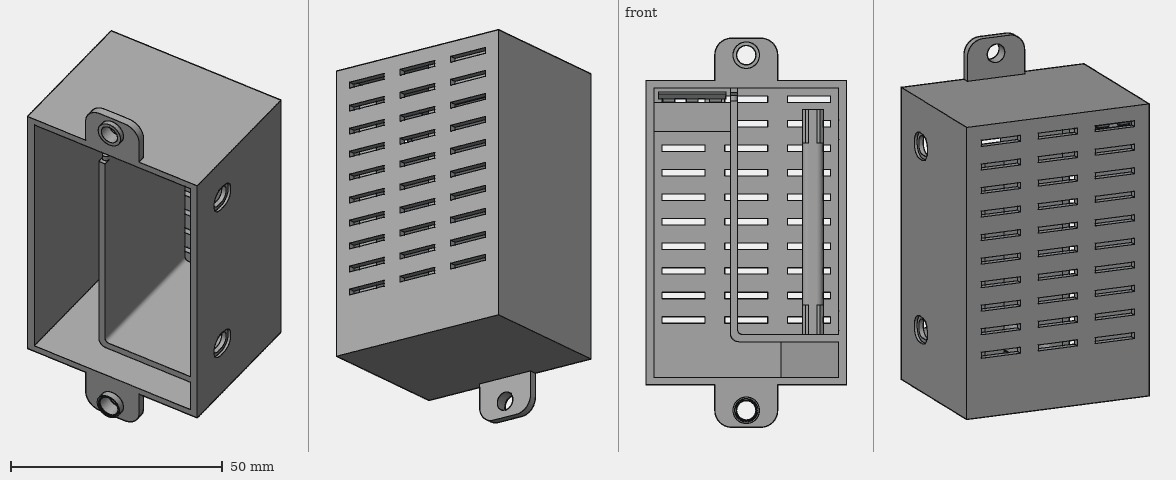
import cadquery as cq
import math

total_height = 92.0
box_width = 47.5
box_depth = 37.1
box_height = 71.9
wall = 1.75
side_wall = 1.9

inner_half_width = box_width / 2 - side_wall
inner_half_height = box_height / 2 - wall
back_face = box_depth - wall

ear_width = 14.9
ear_thickness = 2.0
ear_radius = 4.05
screw_height = total_height / 2 - ear_radius
boss_diameter = 6.3
screw_diameter = 4.5
upper_boss_length = 1.3
lower_boss_length = 1.75
lower_mouth_diameter = 5.0
lower_recess_diameter = 5.5
lower_recess_depth = 0.3

divider_left = -3.8
divider_right = divider_left + wall
shelf_bottom = -25.8
shelf_top = shelf_bottom + wall
divider_outer_radius = 2.0
divider_inner_radius = 1.0

notch_bottom = 31.1
notch_top = 33.1
notch_depth = 1.8
notch_slope = 0.7

ramp_start_depth = 7.0
ramp_left = 8.2
ramp_angle = 49.0
ramp_thickness = wall
ramp_step = 0.3

slot_width = 10.1
slot_height = 1.5
slot_rows = 10
slot_columns = 3
slot_row_pitch = 5.8
slot_column_pitch = 14.8
slot_top_row = 31.6

side_opening_depth = 11.1
side_opening_heights = (-20.8, 24.4)
side_opening_width = 5.5
side_opening_height = 4.6
side_opening_radius = 2.0
side_opening_rim = 1.2
side_recess_margin = 0.9

rail_center = 15.7
rail_width = 5.0
rail_depth = 5.0
rail_bottom = -24.9
rail_top = 29.2
rail_radius = 1.5
rail_end_length = 7.9
rail_end_chamfer = 0.7
rail_end_setback = 0.3

block_top = 30.7
block_bottom = 23.9
block_depth = 7.4
bump_width = 2.85
bump_pitch = 5.5
bump_radius = 0.55
bump_drop = 0.3
bump_setback = 0.9
hook_width = 15.9
hook_top = 33.3
hook_nose_bottom = 32.75
hook_bottom = 31.65
hook_depth = 2.8


def box_between(x_range, y_range, z_range):
    """Axis-aligned block spanning the given ranges."""
    size = [high - low for low, high in (x_range, y_range, z_range)]
    corner = (x_range[0], y_range[0], z_range[0])
    return cq.Workplane("XY").box(*size, centered=False).translate(corner)


def cylinder_along_y(diameter, y_start, y_end, z):
    """Cylinder on the part's centre plane, running in Y."""
    disc = cq.Workplane("XZ", origin=(0, y_start, z)).circle(diameter / 2)
    return disc.extrude(y_start - y_end)


def shell():
    outer = box_between(
        (-box_width / 2, box_width / 2), (0, box_depth), (-box_height / 2, box_height / 2)
    )
    cavity = box_between(
        (-inner_half_width, inner_half_width), (0, back_face), (-inner_half_height, inner_half_height)
    )
    return outer.cut(cavity)


def ears():
    """Plate behind the front plane that shows only above and below the box."""
    plate = box_between(
        (-ear_width / 2, ear_width / 2), (0, ear_thickness), (-total_height / 2, total_height / 2)
    )
    plate = plate.edges("|Y").fillet(ear_radius)
    middle = box_between(
        (-ear_width / 2, ear_width / 2), (0, ear_thickness), (-inner_half_height, inner_half_height)
    )
    return plate.cut(middle)


def bosses():
    upper = cylinder_along_y(boss_diameter, -upper_boss_length, ear_thickness, screw_height)
    lower = cylinder_along_y(boss_diameter, -lower_boss_length, ear_thickness, -screw_height)
    return upper.union(lower)


def screw_holes():
    """Plain upper hole; tapered lower hole with a shallow recess at its mouth."""
    upper = cylinder_along_y(screw_diameter, -upper_boss_length, ear_thickness, screw_height)
    recess_floor = lower_recess_depth - lower_boss_length
    recess = cylinder_along_y(lower_recess_diameter, -lower_boss_length, recess_floor, -screw_height)
    taper = (
        cq.Workplane("XZ", origin=(0, recess_floor, -screw_height))
        .circle(lower_mouth_diameter / 2)
        .workplane(offset=recess_floor - ear_thickness)
        .circle(screw_diameter / 2)
        .loft()
    )
    return upper.union(recess).union(taper)


def divider():
    outer = box_between(
        (divider_left, inner_half_width), (0, back_face), (shelf_bottom, inner_half_height)
    )
    outer = outer.edges("|Y and <X and <Z").fillet(divider_outer_radius)
    inner = box_between(
        (divider_right, inner_half_width), (0, back_face), (shelf_top, inner_half_height)
    )
    inner = inner.edges("|Y and <X and <Z").fillet(divider_inner_radius)
    return outer.cut(inner)


def divider_notch():
    """Notch up to the top wall, with a 45 degree overhang above a rounded nose."""
    nose_top = notch_top - notch_slope
    profile = [
        (0, notch_bottom),
        (notch_depth, notch_bottom),
        (notch_depth, nose_top),
        (notch_depth - notch_slope, notch_top),
        (notch_depth - notch_slope, inner_half_height),
        (0, inner_half_height),
    ]
    notch = cq.Workplane("YZ", origin=(divider_left, 0, 0)).polyline(profile).close().extrude(wall)
    nose_center = ((divider_left + divider_right) / 2, notch_depth, notch_bottom)
    nose = cq.Workplane("XY", origin=nose_center).circle(wall / 2).extrude(nose_top - notch_bottom)
    return notch.cut(nose)


def ramp_corner_plan(offset):
    """Plan of the closed-off corner, with its slanted and left sides moved inwards by offset."""
    slope = math.tan(math.radians(ramp_angle))
    start_depth = ramp_start_depth + offset / math.cos(math.radians(ramp_angle))
    left = ramp_left + offset
    corner_depth = start_depth + (inner_half_width - left) * slope
    return [
        (inner_half_width, start_depth),
        (left, corner_depth),
        (left, back_face),
        (inner_half_width, back_face),
    ]


def corner_prism(offset, top):
    base = cq.Workplane("XY", origin=(0, 0, -inner_half_height))
    return base.polyline(ramp_corner_plan(offset)).close().extrude(top + inner_half_height)


def ramp():
    top = shelf_top - ramp_step
    return corner_prism(0, top).cut(corner_prism(ramp_thickness, top))


def vent_slots():
    grid_center = slot_top_row - (slot_rows - 1) * slot_row_pitch / 2
    wall_plane = cq.Workplane("XZ", origin=(0, back_face, grid_center))
    grid = wall_plane.rarray(slot_column_pitch, slot_row_pitch, slot_columns, slot_rows)
    return grid.rect(slot_width, slot_height).extrude(-wall)


def rounded_side_cut(x_start, x_end, margin):
    """Two rounded cuts through part of the right wall, enlarged all round by margin."""
    centers = [(side_opening_depth, z) for z in side_opening_heights]
    cuts = (
        cq.Workplane("YZ", origin=(x_start, 0, 0))
        .pushPoints(centers)
        .rect(side_opening_width + 2 * margin, side_opening_height + 2 * margin)
        .extrude(x_end - x_start)
    )
    return cuts.edges("|X").fillet(side_opening_radius + margin)


def side_openings():
    """Openings with a thinner rim, widened towards the outside."""
    rim_face = inner_half_width + side_opening_rim
    openings = rounded_side_cut(inner_half_width, box_width / 2, 0)
    return openings.union(rounded_side_cut(rim_face, box_width / 2, side_recess_margin))


def rail():
    """Rail with rounded front edges; its two ends are chamfered beside a continuous middle strip."""
    sides = (rail_center - rail_width / 2, rail_center + rail_width / 2)
    front = back_face - rail_depth
    end_front = front + rail_end_setback
    strip_half_width = rail_width / 2 - rail_radius

    middle = box_between(
        sides, (front, back_face), (rail_bottom + rail_end_length, rail_top - rail_end_length)
    )
    body = middle.edges("|Z and <Y").fillet(rail_radius)
    for z_low in (rail_bottom, rail_top - rail_end_length):
        end = box_between(sides, (end_front, back_face), (z_low, z_low + rail_end_length))
        body = body.union(end.edges("|Z and <Y").chamfer(rail_end_chamfer))
    strip = box_between(
        (rail_center - strip_half_width, rail_center + strip_half_width),
        (front, back_face),
        (rail_bottom, rail_top),
    )
    return body.union(strip)


def corner_block():
    """Block on the back wall, across the left compartment."""
    return box_between(
        (-inner_half_width, divider_left), (back_face - block_depth, back_face), (block_bottom, block_top)
    )


def hook():
    """Wedge on the back wall, undercut at 45 degrees, with three rounded bumps below it."""
    middle = (divider_left - inner_half_width) / 2
    front = back_face - hook_depth
    profile = [
        (back_face, hook_top),
        (front, hook_top),
        (front, hook_nose_bottom),
        (front + hook_nose_bottom - hook_bottom, hook_bottom),
        (back_face, hook_bottom),
    ]
    wedge_plane = cq.Workplane("YZ", origin=(middle - hook_width / 2, 0, 0))
    wedge = wedge_plane.polyline(profile).close().extrude(hook_width)
    for step in (-1, 0, 1):
        bump_left = middle + step * bump_pitch - bump_width / 2
        bump_origin = (bump_left, back_face - bump_setback, hook_bottom - bump_drop)
        bump = cq.Workplane("YZ", origin=bump_origin).circle(bump_radius).extrude(bump_width)
        wedge = wedge.union(bump)
    return wedge


body = shell().union(ears()).union(bosses())
body = body.union(divider()).cut(divider_notch())
body = body.cut(corner_prism(0, shelf_top)).union(ramp())
body = body.cut(vent_slots()).cut(side_openings()).cut(screw_holes())
result = body.union(rail()).union(corner_block()).union(hook())